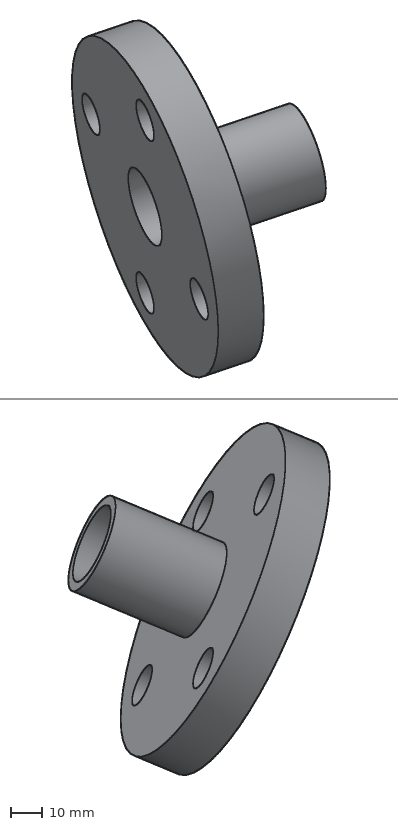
import cadquery as cq

flange_diameter = 115.0
flange_thickness = 16.0

overall_length = 56.0
hub_diameter = 33.0
bore_diameter = 26.5

bolt_hole_count = 4
bolt_hole_diameter = 14.0
bolt_circle_diameter = 85.0


def cylinder_along_y(diameter, length):
    """Cylinder from the front face (Y = 0) toward +Y."""
    return cq.Workplane("XZ").circle(diameter / 2).extrude(-length)


def bolt_holes():
    """Through holes evenly spaced on the bolt circle."""
    return (
        cq.Workplane("XZ")
        .polarArray(bolt_circle_diameter / 2, 0, 360, bolt_hole_count)
        .circle(bolt_hole_diameter / 2)
        .extrude(-flange_thickness)
    )


flange = cylinder_along_y(flange_diameter, flange_thickness)
hub = cylinder_along_y(hub_diameter, overall_length)
bore = cylinder_along_y(bore_diameter, overall_length)

result = flange.union(hub).cut(bore).cut(bolt_holes())